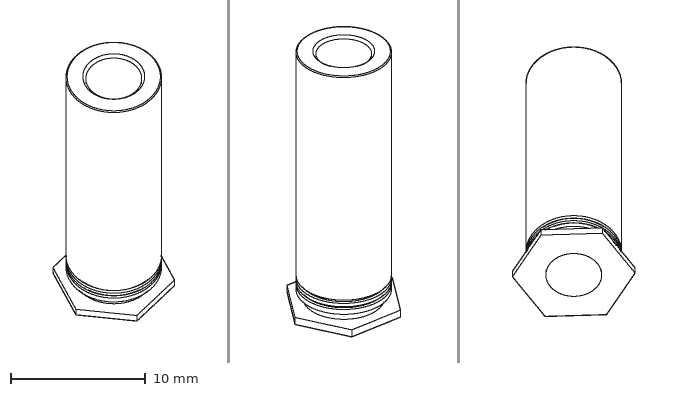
import cadquery as cq
import math

total_height = 22.23
hex_across_flats = 7.91
hex_thickness = 0.62

barrel_diameter = 7.11
groove_diameter = 6.6
neck_diameter = 6.1
bore_diameter = 4.15

lower_ring_bottom = 1.38
lower_ring_top = 1.8
upper_ring_bottom = 2.05
upper_ring_top = 2.33
barrel_bottom = 2.62

rim_chamfer = 0.1
bore_chamfer = 0.22


def cylinder(diameter, bottom, top):
    """Upright cylinder on the part axis between two heights."""
    return cq.Workplane("XY").workplane(offset=bottom).circle(diameter / 2).extrude(top - bottom)


hex_across_corners = hex_across_flats / math.cos(math.pi / 6)
head = cq.Workplane("XY").polygon(6, hex_across_corners).extrude(hex_thickness)

neck = cylinder(neck_diameter, hex_thickness, lower_ring_bottom)
grooved_core = cylinder(groove_diameter, lower_ring_bottom, barrel_bottom)
body = head.union(neck).union(grooved_core)
for ring_bottom, ring_top in (
    (lower_ring_bottom, lower_ring_top),
    (upper_ring_bottom, upper_ring_top),
):
    body = body.union(cylinder(barrel_diameter, ring_bottom, ring_top))

barrel = cylinder(barrel_diameter, barrel_bottom, total_height).faces(">Z").edges().chamfer(rim_chamfer)
body = body.union(barrel)

bore = cylinder(bore_diameter, 0, total_height)
body = body.cut(bore)
mouth_edge = cq.selectors.RadiusNthSelector(0)
result = body.faces(">Z").edges(mouth_edge).chamfer(bore_chamfer)